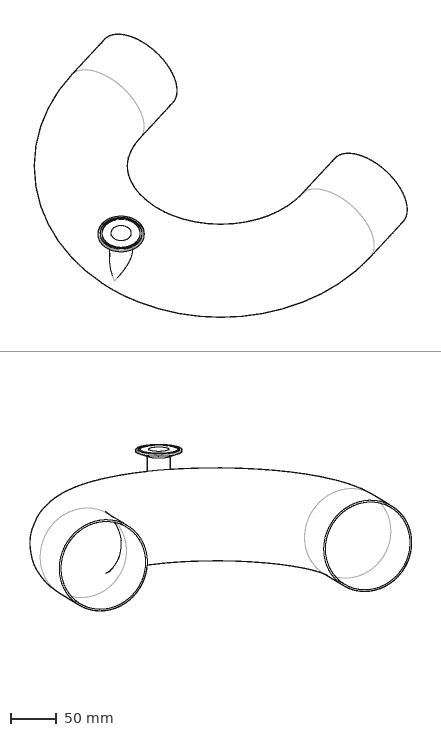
import cadquery as cq

span = 406.5
tube_diameter = 101.5
tube_bore = 97.5
leg_length = 63.5
bend_radius = (span - tube_diameter) / 2

port_diameter = 25.0
port_bore = 22.0
port_y = -(span - port_diameter) / 2
port_top = 66.5

flange_diameter = 50.5
rim_thickness = 2.5
rim_fillet = 1.0
flange_height = 7.5

groove_inner_diameter = 41.5
groove_outer_diameter = 45.5
groove_depth = 1.2


def u_bend(diameter):
    """Solid half-torus bend with a straight leg along +Y at each end."""
    radius = diameter / 2
    bend = (
        cq.Workplane("XZ")
        .center(bend_radius, 0)
        .circle(radius)
        .revolve(180, (-bend_radius, 0), (-bend_radius, -1))
    )
    legs = (
        cq.Workplane("XZ")
        .pushPoints([(-bend_radius, 0), (bend_radius, 0)])
        .circle(radius)
        .extrude(-leg_length)
    )
    return bend.union(legs)


def port_body():
    """Port stem from the mid-plane of the bend up to its conical flange."""
    stem_radius = port_diameter / 2
    flange_radius = flange_diameter / 2
    return (
        cq.Workplane("XZ", origin=(0, port_y, 0))
        .polyline([
            (0, 0),
            (stem_radius, 0),
            (stem_radius, port_top - flange_height),
            (flange_radius, port_top - rim_thickness),
            (flange_radius, port_top),
            (0, port_top),
        ])
        .close()
        .revolve(360, (0, 0), (0, 1))
        .faces(">Z")
        .edges()
        .fillet(rim_fillet)
    )


def port_passage():
    """Bore of the port, opening into the tube."""
    return cq.Workplane("XY", origin=(0, port_y, 0)).circle(port_bore / 2).extrude(port_top)


def gasket_groove():
    """Ring groove cut down from the flange face."""
    return (
        cq.Workplane("XY", origin=(0, port_y, port_top))
        .circle(groove_outer_diameter / 2)
        .circle(groove_inner_diameter / 2)
        .extrude(-groove_depth)
    )


result = (
    u_bend(tube_diameter)
    .union(port_body())
    .cut(u_bend(tube_bore))
    .cut(port_passage())
    .cut(gasket_groove())
)